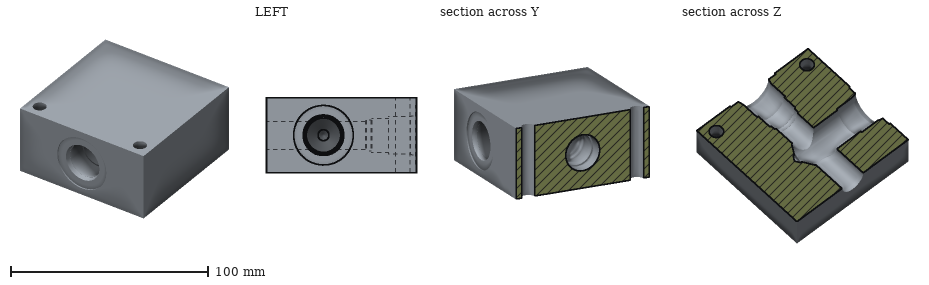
import cadquery as cq
import math

side = 76.2
height = 38.1

mount_diameter = 7.2
mount_offset = 30.9

spotface_radius = 30.25 / 2
spotface_depth = 0.8
seal_radius = 20.6 / 2
seal_bottom_radius = 19.3 / 2
seal_depth = 2.5
thread_radius = 19.05 / 2
thread_depth = 14.3
drill_radius = 17.45 / 2
drill_half_angle = 59.0

front_drill_depth = 22.85
front_step_radius = 15.85 / 2
front_step_length = 2.3
front_bore_radius = 14.3 / 2

side_port_y = 9.15
side_drill_depth = 45.7
pilot_radius = 5.6 / 2
pilot_length = 0.8


def drill_cone_length(large_radius, small_radius):
    """Axial length of a drill-point cone between two radii."""
    return (large_radius - small_radius) / math.tan(math.radians(drill_half_angle))


def port_cutter(drill_depth, inner_steps):
    """Port cutter turned about +Y, entering at y = 0.

    inner_steps lists (radius, length) of the bores behind the tap drill;
    each one is reached through a drill-point cone.
    """
    seal_end = spotface_depth + seal_depth
    profile = [
        (0, 0),
        (spotface_radius, 0),
        (spotface_radius, spotface_depth),
        (seal_radius, spotface_depth),
        (seal_bottom_radius, seal_end),
        (thread_radius, seal_end),
        (thread_radius, thread_depth),
        (drill_radius, thread_depth),
        (drill_radius, drill_depth),
    ]
    radius = drill_radius
    depth = drill_depth
    for step_radius, step_length in inner_steps:
        depth += drill_cone_length(radius, step_radius)
        profile.append((step_radius, depth))
        depth += step_length
        profile.append((step_radius, depth))
        radius = step_radius
    profile.append((0, depth + drill_cone_length(radius, 0)))
    return cq.Workplane("XY").polyline(profile).close().revolve(360, (0, 0, 0), (0, 1, 0))


block = cq.Workplane("XY").box(side, side, height)

mount_holes = (
    cq.Workplane("XY")
    .pushPoints([(-mount_offset, -mount_offset), (mount_offset, -mount_offset)])
    .circle(mount_diameter / 2)
    .extrude(height, both=True)
)

front_port = port_cutter(
    front_drill_depth,
    [(front_step_radius, front_step_length), (front_bore_radius, side)],
).translate((0, -side / 2, 0))

side_port = (
    port_cutter(side_drill_depth, [(pilot_radius, pilot_length)])
    .rotate((0, 0, 0), (0, 0, 1), -90)
    .translate((-side / 2, side_port_y, 0))
)

result = block.cut(mount_holes).cut(front_port).cut(side_port)